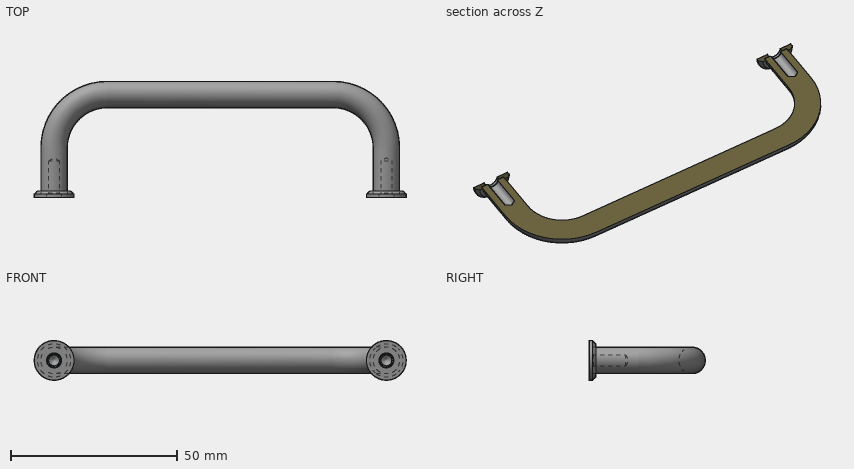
import cadquery as cq
import math

HOLE_SPACING = 100.0
BAR_DIAMETER = 8.0
OVERALL_DEPTH = 35.0
BEND_RADIUS = 16.0

WASHER_DIAMETER = 12.0
WASHER_THICKNESS = 2.0
WASHER_CHAMFER = 1.0
WASHER_HOLE_DIAMETER = 4.5
RECESS_DEPTH = 1.0

CORE_DIAMETER = 3.242
CORE_DEPTH = 10.0
DRILL_POINT_ANGLE = 118.0
COUNTERSINK_DIAMETER = 4.0

FOOT_Y = WASHER_THICKNESS - RECESS_DEPTH
BACK_Y = OVERALL_DEPTH - BAR_DIAMETER / 2
BEND_START_Y = BACK_Y - BEND_RADIUS
FOOT_X = HOLE_SPACING / 2
BEND_END_X = FOOT_X - BEND_RADIUS
FOOT_SIDES = (-1, 1)


def make_handle():
    bend_offset = BEND_RADIUS * (1 - math.sqrt(0.5))
    path = (
        cq.Workplane("XY")
        .moveTo(-FOOT_X, FOOT_Y)
        .lineTo(-FOOT_X, BEND_START_Y)
        .threePointArc((-FOOT_X + bend_offset, BACK_Y - bend_offset), (-BEND_END_X, BACK_Y))
        .lineTo(BEND_END_X, BACK_Y)
        .threePointArc((FOOT_X - bend_offset, BACK_Y - bend_offset), (FOOT_X, BEND_START_Y))
        .lineTo(FOOT_X, FOOT_Y)
    )
    foot_plane = cq.Plane(origin=(-FOOT_X, FOOT_Y, 0), xDir=(1, 0, 0), normal=(0, 1, 0))
    handle = cq.Workplane(foot_plane).circle(BAR_DIAMETER / 2).sweep(path)
    for side in FOOT_SIDES:
        handle = handle.cut(make_hole_cutter(side * FOOT_X))
    return handle


def make_hole_cutter(x):
    """Countersunk blind hole with a drill-point bottom, centred at x."""
    core_radius = CORE_DIAMETER / 2
    mouth_radius = COUNTERSINK_DIAMETER / 2
    point_length = core_radius / math.tan(math.radians(DRILL_POINT_ANGLE / 2))
    profile = (
        cq.Workplane("XY")
        .polyline([
            (0, 0),
            (mouth_radius, 0),
            (core_radius, mouth_radius - core_radius),
            (core_radius, CORE_DEPTH),
            (0, CORE_DEPTH + point_length),
        ])
        .close()
    )
    return profile.revolve(360, (0, 0), (0, 1)).translate((x, FOOT_Y, 0))


def make_washer(x):
    """Washer with a chamfered upper rim and a seat for the foot, centred at x."""
    ground_plane = cq.Plane(origin=(x, 0, 0), xDir=(1, 0, 0), normal=(0, 1, 0))
    disc = cq.Workplane(ground_plane).circle(WASHER_DIAMETER / 2).extrude(WASHER_THICKNESS)
    disc = disc.faces(">Y").chamfer(WASHER_CHAMFER)
    hole = cq.Workplane(ground_plane).circle(WASHER_HOLE_DIAMETER / 2).extrude(WASHER_THICKNESS)
    recess = (
        cq.Workplane(ground_plane)
        .workplane(offset=FOOT_Y)
        .circle(BAR_DIAMETER / 2)
        .extrude(RECESS_DEPTH)
    )
    return disc.cut(hole).cut(recess)


handle = make_handle()
washers = [make_washer(side * FOOT_X) for side in FOOT_SIDES]

result = cq.Compound.makeCompound([handle.val(), *[washer.val() for washer in washers]])